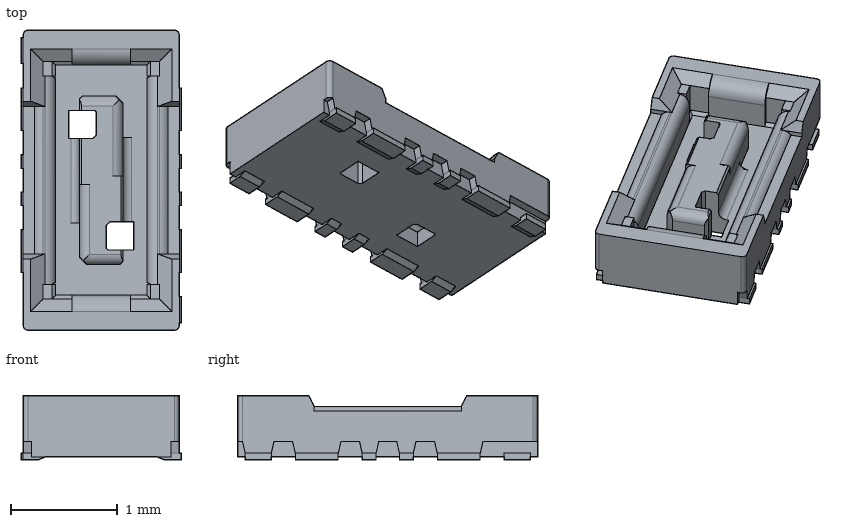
import cadquery as cq
import math


body_x = 1.46
body_y = 2.81
base_z = 0.028
top_z = 0.6
corner_radius = 0.045

mouth_x = 1.32
mouth_y = 2.455
mouth_slope = 0.75
ledge_x = 1.09
ledge_y = mouth_y - (mouth_x - ledge_x)
ledge_z = top_z - mouth_slope * (mouth_x - ledge_x) / 2
pocket_x = 0.922
floor_x = 0.855
floor_y = 2.152
floor_z = 0.197
floor_bevel_height = 0.028

rail_length = 1.95
rail_radius = 0.098
rail_end_taper = 0.02
rail_inner_x = floor_x / 2
rail_crest_inner_x = rail_inner_x + rail_radius
rail_top_z = top_z - mouth_slope * (mouth_x / 2 - rail_crest_inner_x)
rail_crest_outer_x = ledge_x / 2

gap_top_length = 1.478
gap_bottom_length = 1.377
gap_floor_z = 0.458

end_contact_width = 0.545
end_contact_radius = (mouth_y - floor_y) / 2

island_x = 0.41
island_y = 1.58
island_top_z = rail_top_z
island_round = 0.095
island_round_start_y = 0.04
island_edge_chamfer = 0.02
island_large_corner = 0.07
island_small_corner = 0.03

foot_radius = 0.08
foot_end_y = 0.4

window_inner_x = 0.048
window_outer_x = 0.303
window_near_y = 0.39
window_far_y = 0.652
window_near_corner = 0.03
window_far_corner = 0.015

undercut_depth = 0.08
undercut_top_z = 0.171

pad_top_z = 0.062
pad_outer_x = 0.75
short_pad_outer_x = body_x / 2
pad_flat_inner_x = 0.587
pad_slope_inner_x = 0.52
tab_flare = 0.025
end_pad = (1.09, 1.335)
wide_pad = (0.465, 0.865)
narrow_pad = (0.11, 0.24)


def box(x_range, y_range, z_range):
    (x0, x1), (y0, y1), (z0, z1) = x_range, y_range, z_range
    return cq.Workplane("XY").box(x1 - x0, y1 - y0, z1 - z0, centered=False).translate((x0, y0, z0))


def frustum(lower_x, lower_y, lower_z, upper_x, upper_y, upper_z):
    return (
        cq.Workplane("XY", origin=(0, 0, lower_z))
        .rect(lower_x, lower_y)
        .workplane(offset=upper_z - lower_z)
        .rect(upper_x, upper_y)
        .loft(combine=True)
    )


def profile_plane(y_end):
    """XZ sketch plane at y_end; positive extrusion runs toward -Y."""
    return cq.Workplane("XZ", origin=(0, y_end, 0))


def half_turn(shape):
    return shape.rotate((0, 0, 0), (0, 0, 1), 180)


def with_half_turn(shape):
    return shape.union(half_turn(shape))


def arc_middle(center_x, center_z, radius, degrees):
    angle = math.radians(degrees)
    return (center_x + radius * math.cos(angle), center_z + radius * math.sin(angle))


def housing():
    block = box((-body_x / 2, body_x / 2), (-body_y / 2, body_y / 2), (base_z, top_z))
    return block.edges("|Z").fillet(corner_radius)


def pocket():
    bevel_top_z = floor_z + floor_bevel_height
    mouth = frustum(ledge_x, ledge_y, ledge_z, mouth_x, mouth_y, top_z)
    walls = box((-pocket_x / 2, pocket_x / 2), (-ledge_y / 2, ledge_y / 2), (bevel_top_z, ledge_z))
    bevel = frustum(floor_x, floor_y, floor_z, pocket_x, ledge_y, bevel_top_z)
    rail_room = (
        profile_plane(rail_length / 2)
        .polyline([
            (-mouth_x / 2, top_z),
            (-rail_crest_inner_x, rail_top_z),
            (-rail_crest_inner_x, floor_z),
            (rail_crest_inner_x, floor_z),
            (rail_crest_inner_x, rail_top_z),
            (mouth_x / 2, top_z),
        ])
        .close()
        .extrude(rail_length)
    )
    return mouth.union(walls).union(bevel).union(rail_room)


def wall_gap():
    """Gap through the +X wall, outside the inner crest of the rail."""
    return (
        cq.Workplane("YZ", origin=(rail_crest_inner_x, 0, 0))
        .polyline([
            (-gap_top_length / 2, top_z),
            (-gap_bottom_length / 2, rail_top_z),
            (-gap_bottom_length / 2, gap_floor_z),
            (gap_bottom_length / 2, gap_floor_z),
            (gap_bottom_length / 2, rail_top_z),
            (gap_top_length / 2, top_z),
        ])
        .close()
        .extrude(body_x / 2 - rail_crest_inner_x)
    )


def rail():
    """Rail on the +X wall: full-length inner half, and outer half inside the gap."""
    round_z = rail_top_z - rail_radius
    inner = (
        profile_plane(rail_length / 2)
        .moveTo(rail_inner_x, base_z)
        .lineTo(rail_inner_x, round_z)
        .threePointArc(
            arc_middle(rail_crest_inner_x, round_z, rail_radius, 135),
            (rail_crest_inner_x, rail_top_z),
        )
        .lineTo(rail_crest_inner_x, base_z)
        .close()
        .extrude(rail_length)
    )
    half_length = rail_length / 2
    face_half_length = half_length - rail_end_taper
    plan = (
        cq.Workplane("XY", origin=(0, 0, base_z))
        .polyline([
            (rail_inner_x, -face_half_length),
            (pocket_x / 2, -half_length),
            (rail_crest_inner_x, -half_length),
            (rail_crest_inner_x, half_length),
            (pocket_x / 2, half_length),
            (rail_inner_x, face_half_length),
        ])
        .close()
        .extrude(rail_top_z)
    )
    foot_angle = math.asin((gap_floor_z - round_z) / rail_radius)
    foot_x = rail_crest_outer_x + rail_radius * math.cos(foot_angle)
    outer = (
        profile_plane(gap_bottom_length / 2)
        .moveTo(rail_crest_inner_x, floor_z)
        .lineTo(rail_crest_inner_x, rail_top_z)
        .lineTo(rail_crest_outer_x, rail_top_z)
        .threePointArc(
            arc_middle(rail_crest_outer_x, round_z, rail_radius, 60),
            (foot_x, gap_floor_z),
        )
        .lineTo(foot_x, floor_z)
        .close()
        .extrude(gap_bottom_length)
    )
    return inner.intersect(plan).union(outer)


def end_contact():
    """Contact on the +Y end wall, rolling over from the rim to an upright face."""
    wall_y = mouth_y / 2
    face_y = floor_y / 2
    round_z = top_z - end_contact_radius
    return (
        cq.Workplane("YZ", origin=(-end_contact_width / 2, 0, 0))
        .moveTo(face_y, base_z)
        .lineTo(face_y, round_z)
        .threePointArc(arc_middle(wall_y, round_z, end_contact_radius, 135), (wall_y, top_z))
        .lineTo(wall_y, base_z)
        .close()
        .extrude(end_contact_width)
    )


def edge_round_cutter(plane, length):
    """Waste above a rounded edge: the edge is the sketch origin, the part lies at negative x, y."""
    return (
        plane
        .moveTo(-island_round, 0)
        .threePointArc(
            arc_middle(-island_round, -island_round, island_round, 45),
            (0, -island_round),
        )
        .lineTo(0, 0)
        .close()
        .extrude(length)
    )


def island():
    side_x = island_x / 2
    end_y = island_y / 2
    block = box((-side_x, side_x), (-end_y, end_y), (base_z, island_top_z))

    end_round = edge_round_cutter(
        cq.Workplane("YZ", origin=(-side_x, end_y, island_top_z)), island_x
    )
    side_round = edge_round_cutter(
        cq.Workplane("XZ", origin=(side_x, end_y, island_top_z)), end_y - island_round_start_y
    )
    side_chamfer = (
        cq.Workplane("XZ", origin=(side_x, island_round_start_y, island_top_z))
        .polyline([(-island_edge_chamfer, 0), (0, -island_edge_chamfer), (0, 0)])
        .close()
        .extrude(end_y + island_round_start_y)
    )

    def corner_cutter(x_sign, size):
        return (
            cq.Workplane("XY", origin=(x_sign * side_x, end_y, base_z))
            .polyline([(-x_sign * size, 0), (0, -size), (0, 0)])
            .close()
            .extrude(island_top_z - base_z)
        )

    waste = end_round.union(side_round).union(side_chamfer)
    waste = waste.union(corner_cutter(1, island_large_corner))
    waste = waste.union(corner_cutter(-1, island_small_corner))
    return block.cut(with_half_turn(waste))


def island_foot():
    """Concave fillet from the +X side of the island down to the floor, ending inside the window."""
    side_x = island_x / 2
    center = (side_x + foot_radius, floor_z + foot_radius)
    return (
        profile_plane(foot_end_y)
        .moveTo(side_x, floor_z + foot_radius)
        .threePointArc(arc_middle(*center, foot_radius, 225), (side_x + foot_radius, floor_z))
        .lineTo(side_x + foot_radius, base_z)
        .lineTo(side_x, base_z)
        .close()
        .extrude(foot_end_y + window_near_y)
    )


def window():
    return (
        cq.Workplane("XY", origin=(0, 0, base_z))
        .polyline([
            (window_outer_x, -window_near_y),
            (window_inner_x + window_near_corner, -window_near_y),
            (window_inner_x, -window_near_y - window_near_corner),
            (window_inner_x, -window_far_y + window_far_corner),
            (window_inner_x + window_far_corner, -window_far_y),
            (window_outer_x, -window_far_y),
        ])
        .close()
        .extrude(top_z - base_z)
    )


def mirrored(span):
    return (-span[1], -span[0])


tab_spans = [end_pad, wide_pad, narrow_pad, mirrored(narrow_pad), mirrored(wide_pad)]


def undercut():
    """Undercut along the -X side, leaving a flared tab over each pad in tab_spans."""
    x_range = (-body_x / 2, -body_x / 2 + undercut_depth)
    cutter = box(x_range, (-body_y / 2, body_y / 2), (base_z, undercut_top_z))
    for near_y, far_y in tab_spans:
        tab = (
            cq.Workplane("YZ", origin=(-body_x / 2, 0, 0))
            .polyline([
                (near_y, base_z),
                (near_y, pad_top_z),
                (near_y - tab_flare, undercut_top_z),
                (far_y + tab_flare, undercut_top_z),
                (far_y, pad_top_z),
                (far_y, base_z),
            ])
            .close()
            .extrude(undercut_depth)
        )
        cutter = cutter.cut(tab)
    return cutter


def pad(span, outer_x):
    return (
        profile_plane(span[1])
        .polyline([
            (-outer_x, 0),
            (-pad_flat_inner_x, 0),
            (-pad_slope_inner_x, base_z),
            (-pad_slope_inner_x, pad_top_z),
            (-outer_x, pad_top_z),
        ])
        .close()
        .extrude(span[1] - span[0])
    )


def pads():
    row = pad(mirrored(end_pad), short_pad_outer_x)
    for span in tab_spans:
        row = row.union(pad(span, pad_outer_x))
    return row


result = housing().cut(pocket())
result = result.cut(with_half_turn(wall_gap()))
result = result.union(with_half_turn(rail()))
result = result.union(with_half_turn(end_contact()))
result = result.union(island())
result = result.union(with_half_turn(island_foot()))
result = result.cut(with_half_turn(window()))
result = result.cut(with_half_turn(undercut()))
result = result.union(with_half_turn(pads()))